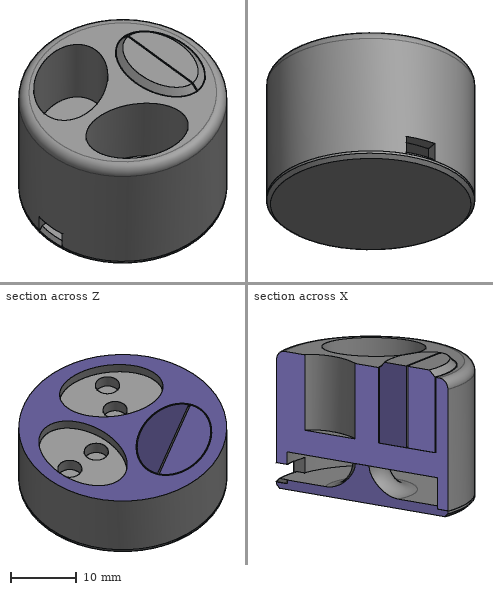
import cadquery as cq
import math

outer_diameter = 32.0
housing_top = 22.0
top_fillet = 1.6
base_rim_height = 1.0
base_chamfer = 0.6

cavity_diameter = 28.0
cavity_ceiling = 6.0
plug_top = 1.6

pocket_count = 3
pocket_pitch_radius = 8.25
pocket_half_length = 8.0
pocket_half_width = 5.5
pocket_floor = 10.0
button_angle = 90.0
open_angles = [button_angle + i * 360.0 / pocket_count for i in range(1, pocket_count)]

socket_diameter = 3.7
socket_spacing = 5.5
socket_depth = 2.0

button_top = housing_top + 1.0
button_chamfer = 1.0
button_clearance = 0.1
button_split = 0.2

window_width = 5.0
window_top = 4.0
tab_clearance = 0.1
tab_chamfer = plug_top - base_rim_height

post_diameter = 5.5
post_foot_radius = cavity_ceiling - plug_top

outer_radius = outer_diameter / 2
post_radius = post_diameter / 2


def cylinder(diameter, bottom, top):
    return cq.Workplane("XY").workplane(offset=bottom).circle(diameter / 2).extrude(top - bottom)


def front_block(width, bottom, top):
    """Block from the Z axis to the front (-Y) edge of the part, centred on X."""
    block = cq.Workplane("XY").box(width, outer_radius, top - bottom, centered=(True, False, False))
    return block.translate((0, -outer_radius, bottom))


def elliptical_prism(angle, half_length, half_width, bottom, top):
    """Prism at the pocket pitch radius, with its long axis across the radial direction."""
    prism = cq.Workplane("XY").ellipse(half_width, half_length).extrude(top - bottom)
    prism = prism.translate((pocket_pitch_radius, 0, bottom))
    return prism.rotate((0, 0, 0), (0, 0, 1), angle)


def make_housing():
    body = cylinder(outer_diameter, base_rim_height, housing_top).faces(">Z").edges().fillet(top_fillet)
    body = body.cut(cylinder(cavity_diameter, base_rim_height, cavity_ceiling))
    body = body.cut(front_block(window_width, base_rim_height, window_top))
    for angle in [button_angle] + open_angles:
        pocket = elliptical_prism(angle, pocket_half_length, pocket_half_width, pocket_floor, housing_top)
        body = body.cut(pocket)
    for angle in open_angles:
        for offset in (-socket_spacing / 2, socket_spacing / 2):
            radius = pocket_pitch_radius + offset
            x = radius * math.cos(math.radians(angle))
            y = radius * math.sin(math.radians(angle))
            socket = cylinder(socket_diameter, pocket_floor - socket_depth, pocket_floor)
            body = body.cut(socket.translate((x, y, 0)))
    return body


def make_post():
    """Round post whose foot flares into the plug through a concave quarter arc."""
    arc_middle = post_foot_radius * (1 - math.sqrt(0.5))
    return (
        cq.Workplane("XZ")
        .moveTo(0, base_rim_height)
        .lineTo(post_radius + post_foot_radius, base_rim_height)
        .lineTo(post_radius + post_foot_radius, plug_top)
        .threePointArc((post_radius + arc_middle, plug_top + arc_middle), (post_radius, cavity_ceiling))
        .lineTo(0, cavity_ceiling)
        .close()
        .revolve(360, (0, 0), (0, 1))
    )


def make_base():
    rim = cylinder(outer_diameter, 0, base_rim_height).faces("<Z").edges().chamfer(base_chamfer)
    plug = cylinder(cavity_diameter, base_rim_height, plug_top)
    tab = cylinder(outer_diameter, 0, plug_top).faces(">Z").edges().chamfer(tab_chamfer)
    tab = tab.intersect(front_block(window_width - 2 * tab_clearance, base_rim_height, plug_top))
    return rim.union(plug).union(tab).union(make_post())


def make_button_half(side):
    """Half of the chamfered elliptical button; side is +1 for the rear half and -1 for the front."""
    button = elliptical_prism(
        button_angle,
        pocket_half_length - button_clearance,
        pocket_half_width - button_clearance,
        pocket_floor,
        button_top,
    )
    button = button.faces(">Z").edges().chamfer(button_chamfer)
    half = cq.Workplane("XY").box(outer_diameter, outer_diameter, button_top, centered=(True, True, False))
    half_center = pocket_pitch_radius + side * (outer_radius + button_split / 2)
    return button.intersect(half.translate((0, half_center, 0)))


housing = make_housing()
base = make_base()
button_halves = [make_button_half(side) for side in (-1, 1)]

result = cq.Compound.makeCompound([housing.val(), base.val(), *[half.val() for half in button_halves]])